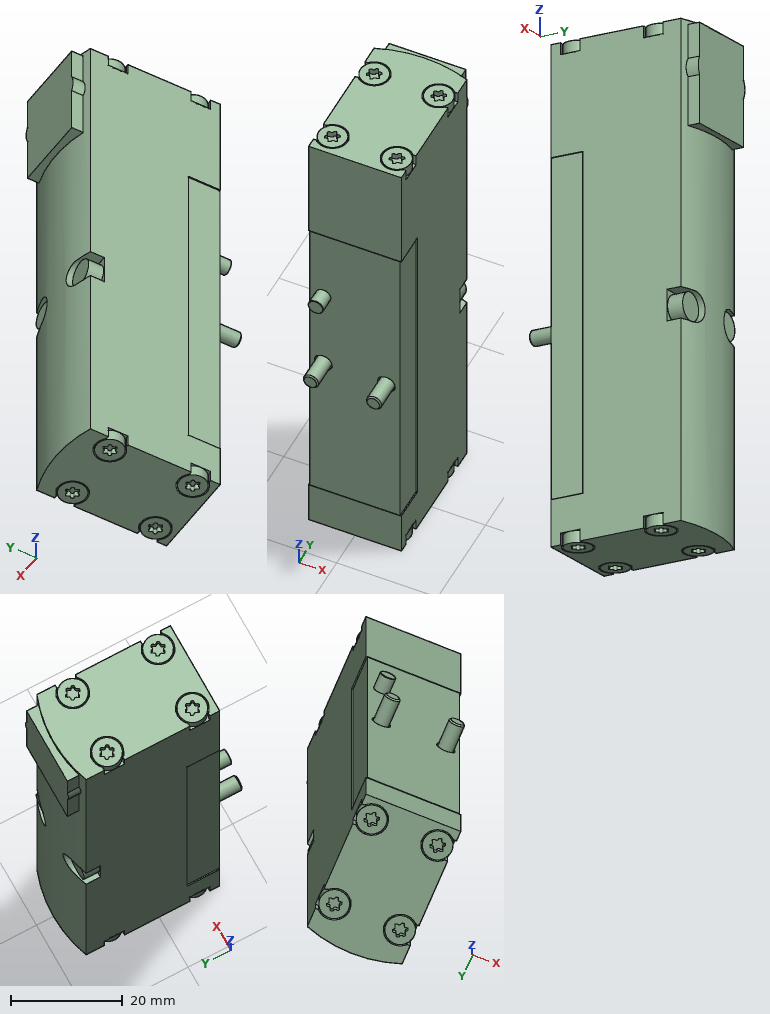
import cadquery as cq
import math

WIDTH = 18.4
HEIGHT = 95.4
SIDE_DEPTH = 27.35
DOME_DEPTH = 29.0

BOTTOM_CAP_TOP = 9.0
TOP_CAP_BOTTOM = 73.9
BASE_PLATE_DEPTH = 6.75
BASE_PLATE_INSET = 0.25
CAP_FRONT_INSET = 0.1

PLATE_WIDTH = 15.2
PLATE_BACK = 30.3
PLATE_BOTTOM = 75.4
PLATE_TOP = 94.6
GRIP_Z = 86.4
GRIP_CHORD = 3.5
GRIP_RISE = 0.45

HEAD_DIAMETER = 5.5
POCKET_DIAMETER = 6.0
STAR_TIP_DIAMETER = 2.8
STAR_ROOT_DIAMETER = 2.0
STAR_LOBES = 6
STAR_DEPTH = 1.2

CAP_SCREW_X = 6.4
CAP_SCREW_YS = (4.15, 21.55)
CAP_HEAD_HEIGHT = 2.25
CAP_WINDOW_WIDTH = 4.1

MOUNT_X = 6.25
MOUNT_Z = 41.45
MOUNT_SEAT_Y = 24.45
MOUNT_HEAD_TOP_Y = 27.6
SHANK_DIAMETER = 3.0
SHANK_TIP_DIAMETER = 2.46
CLEARANCE_DIAMETER = 3.5
SHANK_PROJECTION = 5.4

PIN_DIAMETER = 3.0
PIN_X = -MOUNT_X
PIN_Z = 58.55
PIN_PROJECTION = 3.2
PIN_CHAMFER = 0.1

SIDES = (-1, 1)


def block(x_min, x_max, y_min, y_max, z_min, z_max):
    """Box given by its limits along each axis."""
    size = (x_max - x_min, y_max - y_min, z_max - z_min)
    return cq.Workplane("XY").box(*size, centered=False).translate((x_min, y_min, z_min))


def y_cylinder(diameter, x, z, y_start, y_end):
    """Cylinder parallel to Y."""
    plane = cq.Workplane("XZ", origin=(x, y_start, z))
    return plane.circle(diameter / 2).extrude(y_start - y_end)


def z_cylinder(diameter, x, y, z_start, z_end):
    """Cylinder parallel to Z."""
    plane = cq.Workplane("XY", origin=(x, y, z_start))
    return plane.circle(diameter / 2).extrude(z_end - z_start)


def side_opening(side, x, y_min, y_max, z_min, z_max):
    """Box from a screw axis out through the nearer side wall."""
    x_limits = sorted((side * x, side * WIDTH))
    return block(*x_limits, y_min, y_max, z_min, z_max)


def make_body():
    """Domed body with a stepped base plate between the end caps."""
    half = WIDTH / 2
    body = (
        cq.Workplane("XY")
        .moveTo(-half, 0)
        .lineTo(half, 0)
        .lineTo(half, SIDE_DEPTH)
        .threePointArc((0, DOME_DEPTH), (-half, SIDE_DEPTH))
        .close()
        .extrude(HEIGHT)
    )
    for z_min, z_max in ((0, BOTTOM_CAP_TOP), (TOP_CAP_BOTTOM, HEIGHT)):
        body = body.cut(block(-half, half, 0, CAP_FRONT_INSET, z_min, z_max))
    for side in SIDES:
        x_limits = sorted((side * half, side * (half - BASE_PLATE_INSET)))
        body = body.cut(block(*x_limits, 0, BASE_PLATE_DEPTH, BOTTOM_CAP_TOP, TOP_CAP_BOTTOM))
    return body


def make_label_plate():
    """Plate on the domed back with a rounded bulge on each side edge."""
    half = PLATE_WIDTH / 2
    grip_low = GRIP_Z - GRIP_CHORD / 2
    grip_high = GRIP_Z + GRIP_CHORD / 2
    grip_x = half + GRIP_RISE
    return (
        cq.Workplane("XZ", origin=(0, PLATE_BACK, 0))
        .moveTo(-half, PLATE_BOTTOM)
        .lineTo(half, PLATE_BOTTOM)
        .lineTo(half, grip_low)
        .threePointArc((grip_x, GRIP_Z), (half, grip_high))
        .lineTo(half, PLATE_TOP)
        .lineTo(-half, PLATE_TOP)
        .lineTo(-half, grip_high)
        .threePointArc((-grip_x, GRIP_Z), (-half, grip_low))
        .close()
        .extrude(PLATE_BACK - SIDE_DEPTH)
    )


def polar(radius, angle):
    """Point at a radius and angle from the origin."""
    return (radius * math.cos(angle), radius * math.sin(angle))


def make_star_drive(x, y, z, height):
    """Six-lobed drive recess of alternating arcs, with one lobe pointing along +Y."""
    tip_radius = STAR_TIP_DIAMETER / 2
    root_radius = STAR_ROOT_DIAMETER / 2
    joint_radius = (tip_radius + root_radius) / 2
    lobe_pitch = 2 * math.pi / STAR_LOBES
    first_joint = math.pi / 2 - lobe_pitch / 4
    outline = cq.Workplane("XY", origin=(x, y, z)).moveTo(*polar(joint_radius, first_joint))
    for i in range(STAR_LOBES):
        tip_angle = math.pi / 2 + i * lobe_pitch
        root_angle = tip_angle + lobe_pitch / 2
        lobe_end = polar(joint_radius, tip_angle + lobe_pitch / 4)
        root_end = polar(joint_radius, root_angle + lobe_pitch / 4)
        outline = outline.threePointArc(polar(tip_radius, tip_angle), lobe_end)
        outline = outline.threePointArc(polar(root_radius, root_angle), root_end)
    return outline.close().extrude(height)


def add_cap_screw(body, side, y, face_z, inward):
    """Pocket, side window and flush star-drive head; inward is the sign of Z into the cap."""
    x = side * CAP_SCREW_X
    seat_z = face_z + inward * CAP_HEAD_HEIGHT
    z_limits = sorted((face_z, seat_z))
    window_half = CAP_WINDOW_WIDTH / 2
    pocket = z_cylinder(POCKET_DIAMETER, x, y, face_z, seat_z)
    window = side_opening(side, CAP_SCREW_X, y - window_half, y + window_half, *z_limits)
    head = z_cylinder(HEAD_DIAMETER, x, y, face_z, seat_z)
    drive = make_star_drive(x, y, face_z, inward * STAR_DEPTH)
    return body.cut(pocket).cut(window).union(head.cut(drive))


def add_mounting_screw(body, side):
    """Open-sided pocket in the back with a screw whose shank projects from the front."""
    x = side * MOUNT_X
    pocket_half = POCKET_DIAMETER / 2
    z_limits = (MOUNT_Z - pocket_half, MOUNT_Z + pocket_half)
    pocket = y_cylinder(POCKET_DIAMETER, x, MOUNT_Z, MOUNT_SEAT_Y, DOME_DEPTH)
    opening = side_opening(side, MOUNT_X, MOUNT_SEAT_Y, DOME_DEPTH, *z_limits)
    clearance = y_cylinder(CLEARANCE_DIAMETER, x, MOUNT_Z, 0, MOUNT_SEAT_Y)
    head = y_cylinder(HEAD_DIAMETER, x, MOUNT_Z, MOUNT_SEAT_Y, MOUNT_HEAD_TOP_Y)
    shank = y_cylinder(SHANK_DIAMETER, x, MOUNT_Z, -SHANK_PROJECTION, MOUNT_SEAT_Y)
    shank = shank.faces("<Y").chamfer((SHANK_DIAMETER - SHANK_TIP_DIAMETER) / 2)
    return body.cut(pocket).cut(opening).cut(clearance).union(head.union(shank))


def make_locating_pin():
    """Short pin projecting from the front, with a small edge break at its tip."""
    pin = y_cylinder(PIN_DIAMETER, PIN_X, PIN_Z, -PIN_PROJECTION, BASE_PLATE_DEPTH)
    return pin.faces("<Y").chamfer(PIN_CHAMFER)


result = make_body().union(make_label_plate())
for side in SIDES:
    for y in CAP_SCREW_YS:
        result = add_cap_screw(result, side, y, HEIGHT, -1)
        result = add_cap_screw(result, side, y, 0, 1)
    result = add_mounting_screw(result, side)
result = result.union(make_locating_pin())